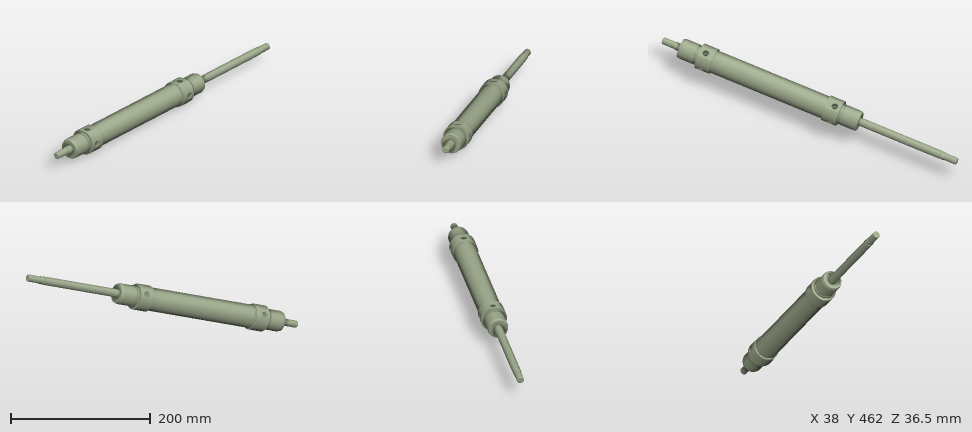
import cadquery as cq


overall_length = 462.0
rod_diameter = 12.0
collar_diameter = 11.5
thread_diameter = 10.0
thread_tip_diameter = 8.0
thread_length = 20.0
thread_tip_chamfer = (thread_diameter - thread_tip_diameter) / 2
collar_length = 7.0
flat_length = 5.5
flat_spacing = 9.5
flat_runout_radius = (collar_diameter - flat_spacing) / 2

tube_diameter = 33.5
tube_bore = 32.0
socket_depth = 3.0

front_face_y = 48.0
rear_face_y = -173.0
cover_diameter = 38.0
cover_length = 22.0
cover_flat_height = 17.5
lip_diameter = 34.5
lip_length = 1.0
rod_bore = 13.0

nose_diameter = 30.0
nose_relief_diameter = 28.0
nose_length = 30.0
relief_start = 3.0
relief_end = 5.0
chamfer_start = 26.5
chamfer_end = 29.0
tip_diameter = 27.5
recess_diameter = 22.0
recess_depth = 1.5
seat_diameter = 16.0
seat_depth = 0.5

port_to_face = 9.2
port_mouth_diameter = 10.0
port_diameter = 9.0
port_depth = 7.0
air_passage_diameter = 3.0
pivot_mouth_diameter = 10.0
pivot_diameter = 8.0
pivot_depth = 3.5

clearance = 4.5


def turned(profile):
    """Solid of revolution about Y from (radius, y) points."""
    return cq.Workplane("XY").polyline(profile).close().revolve(360, (0, 0, 0), (0, 1, 0))


def make_rod():
    end_y = overall_length / 2
    thread_end_y = end_y - thread_length
    collar_end_y = thread_end_y - collar_length
    half_profile = [
        (rod_diameter / 2, collar_end_y),
        (collar_diameter / 2, collar_end_y),
        (collar_diameter / 2, thread_end_y),
        (thread_diameter / 2, thread_end_y),
        (thread_diameter / 2, end_y - thread_tip_chamfer),
        (thread_tip_diameter / 2, end_y),
        (0, end_y),
    ]
    mirrored = [(radius, -y) for radius, y in reversed(half_profile)]
    rod = turned(mirrored + half_profile)
    for end in (1, -1):
        for side in (1, -1):
            rod = rod.cut(wrench_flat_cutter(thread_end_y, end, side))
    return rod


def wrench_flat_cutter(thread_end_y, end, side):
    """Block that mills one flat on a rod collar, with a rounded inner end."""
    floor = flat_spacing / 2
    return (
        cq.Workplane("YZ", origin=(-rod_diameter / 2, 0, 0))
        .moveTo(end * thread_end_y, side * floor)
        .lineTo(end * (thread_end_y - flat_length + flat_runout_radius), side * floor)
        .radiusArc(
            (end * (thread_end_y - flat_length), side * (floor + flat_runout_radius)),
            end * side * flat_runout_radius,
        )
        .lineTo(end * thread_end_y, side * (floor + flat_runout_radius))
        .close()
        .extrude(rod_diameter)
    )


def make_tube():
    socket_offset = cover_length - socket_depth
    start_y = rear_face_y + socket_offset
    end_y = front_face_y - socket_offset
    return turned([
        (tube_bore / 2, start_y),
        (tube_diameter / 2, start_y),
        (tube_diameter / 2, end_y),
        (tube_bore / 2, end_y),
    ])


def cover_blank(face_y, outward):
    """Turned cover: distances run from the nose-side face, positive along the nose."""
    def at(radius, distance):
        return (radius, face_y + outward * distance)

    inner_end = -cover_length
    socket_floor = inner_end + socket_depth
    return turned([
        at(rod_bore / 2, socket_floor),
        at(tube_diameter / 2, socket_floor),
        at(tube_diameter / 2, inner_end - lip_length),
        at(lip_diameter / 2, inner_end - lip_length),
        at(lip_diameter / 2, inner_end),
        at(cover_diameter / 2, inner_end),
        at(cover_diameter / 2, 0),
        at(nose_diameter / 2, 0),
        at(nose_diameter / 2, relief_start),
        at(nose_relief_diameter / 2, relief_start),
        at(nose_relief_diameter / 2, relief_end),
        at(nose_diameter / 2, relief_end),
        at(nose_diameter / 2, chamfer_start),
        at(nose_relief_diameter / 2, chamfer_end),
        at(tip_diameter / 2, nose_length),
        at(recess_diameter / 2, nose_length),
        at(recess_diameter / 2, nose_length - recess_depth),
        at(seat_diameter / 2, nose_length - recess_depth),
        at(seat_diameter / 2, nose_length - recess_depth - seat_depth),
        at(rod_bore / 2, nose_length - recess_depth - seat_depth),
    ])


def cut_top_flat(cover, face_y, outward):
    height = cover_diameter / 2 - cover_flat_height
    center = (0, face_y - outward * cover_length / 2, cover_flat_height + height / 2)
    return cover.cut(cq.Workplane("XY").box(cover_diameter, cover_length, height).translate(center))


def cut_port(cover, port_y):
    """Blind port with a chamfered mouth and a small air passage down to the rod bore."""
    chamfer = (port_mouth_diameter - port_diameter) / 2
    top = cq.Workplane("XY", origin=(0, port_y, cover_flat_height))
    mouth = (
        top.circle(port_mouth_diameter / 2)
        .workplane(offset=-chamfer)
        .circle(port_diameter / 2)
        .loft()
    )
    port = top.circle(port_diameter / 2).extrude(-port_depth)
    passage = top.circle(air_passage_diameter / 2).extrude(-cover_flat_height)
    return cover.cut(mouth).cut(port).cut(passage)


def cut_pivot_holes(cover, port_y):
    """Stepped blind holes facing each other across the cover, on the -X and +X sides."""
    step_depth = (pivot_mouth_diameter - pivot_diameter) / 2
    for side in (1, -1):
        for diameter, depth in ((pivot_mouth_diameter, step_depth), (pivot_diameter, pivot_depth)):
            floor_x = side * (cover_diameter / 2 - depth)
            hole = (
                cq.Workplane("YZ", origin=(floor_x, port_y, 0))
                .circle(diameter / 2)
                .extrude(side * (depth + clearance))
            )
            cover = cover.cut(hole)
    return cover


def make_cover(face_y, outward):
    port_y = face_y - outward * port_to_face
    cover = cover_blank(face_y, outward)
    cover = cut_top_flat(cover, face_y, outward)
    cover = cut_port(cover, port_y)
    return cut_pivot_holes(cover, port_y)


rod = make_rod()
tube = make_tube()
front_cover = make_cover(front_face_y, 1)
rear_cover = make_cover(rear_face_y, -1)
bodies = [rod, tube, front_cover, rear_cover]

result = cq.Compound.makeCompound([body.solids().val() for body in bodies])